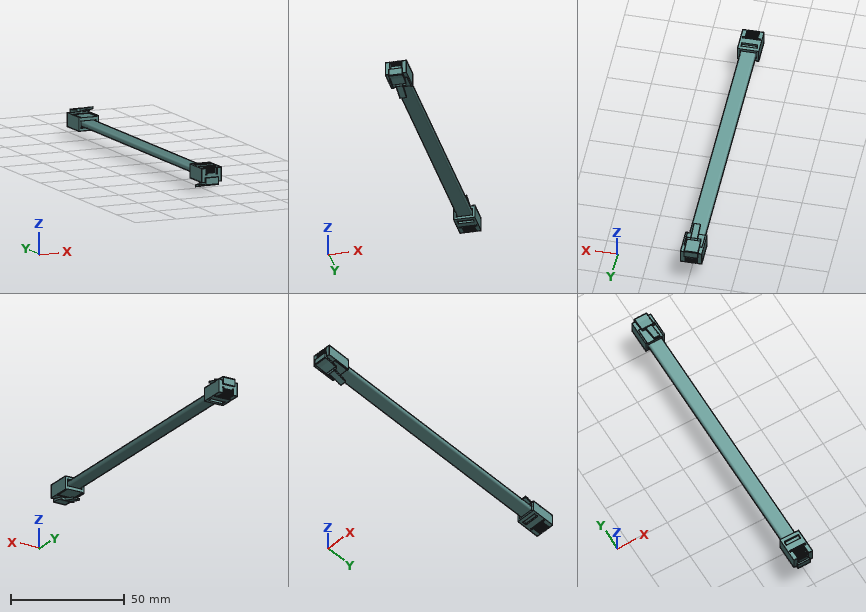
import cadquery as cq

overall_length = 143.05
overall_height = 15.4

plug_width = 9.63
plug_height = 6.35
plug_length = 12.28
nose_chamfer = 0.1

latch_width = 6.2
latch_protrusion = 0.82
latch_root_z = 1.05
latch_plate_thickness = 1.3
latch_nose_chamfer_length = 0.2
latch_nose_chamfer_height = 0.4
gap_start_reach = 1.9
bend_reach = 3.0
step_foot_reach = 6.7
step_foot_z = 5.25
step_top_reach = 7.35
step_top_z = 5.9
shoulder_bottom_z = 4.5

tab_width = 3.0
tab_reach = 14.6
tab_end_height = 0.85

latch_recess_width = 8.1
latch_recess_setback = 4.45
latch_recess_depth = 0.3

slot_count = 6
slot_pitch = 1.02
slot_width = 0.5
contact_depth = 0.3
contact_ledge_depth = 2.3
contact_ledge_length = 0.8
empty_slot_depth = 3.0
contact_end_radius = 0.5

groove_width = 8.0
groove_length = 0.75
groove_depth = contact_depth + contact_end_radius
groove_from_rear = 7.05
pocket_width = 7.2
pocket_length = 2.1
pocket_depth = 1.0
pocket_from_rear = 1.8

cable_width = 7.2
cable_thickness = 2.5
cable_corner_radius = 1.1
opening_width = 7.4
opening_top_z = 1.4
opening_bottom_z = -1.9
opening_depth = 6.0

tip_y = overall_length / 2
nose_y = tip_y - latch_protrusion
rear_y = nose_y - plug_length
opening_floor_y = rear_y + opening_depth
groove_y = rear_y + groove_from_rear
slot_rear_y = groove_y + groove_length
latch_face_z = plug_height / 2
contact_face_z = -plug_height / 2


def block(width, y_start, y_end, z_bottom, z_top):
    """A box centred on X = 0 between the given Y and Z limits."""
    return (
        cq.Workplane("XY")
        .box(width, y_end - y_start, z_top - z_bottom, centered=(True, False, False))
        .translate((0, y_start, z_bottom))
    )


def side_profile(points, width):
    """Extrude a (Y, Z) outline by the given width, centred on X = 0."""
    return cq.Workplane("YZ").polyline(points).close().extrude(width / 2, both=True)


def make_latch():
    """Plate hooked over the nose, rising backwards to a shoulder and a narrow tab."""
    plate_top_z = latch_face_z + latch_plate_thickness
    latch_top_z = overall_height / 2
    root_y = nose_y - nose_chamfer
    shoulder_y = tip_y - step_top_reach
    tab_end_y = tip_y - tab_reach

    plate = side_profile(
        [
            (tip_y, latch_root_z),
            (tip_y, plate_top_z - latch_nose_chamfer_height),
            (tip_y - latch_nose_chamfer_length, plate_top_z),
            (tip_y - bend_reach, plate_top_z),
            (tip_y - step_foot_reach, step_foot_z),
            (shoulder_y, step_top_z),
            (shoulder_y, shoulder_bottom_z),
            (tip_y - gap_start_reach, latch_face_z),
            (root_y, latch_face_z),
            (root_y, latch_root_z),
        ],
        latch_width,
    )
    tab = side_profile(
        [
            (shoulder_y, step_top_z),
            (tab_end_y, latch_top_z),
            (tab_end_y, latch_top_z - tab_end_height),
            (shoulder_y, shoulder_bottom_z),
        ],
        tab_width,
    )
    return plate.union(tab)


def contact_slot():
    """Space left above a contact: its top is rounded at both ends, with a ledge before the nose."""
    contact_top_z = contact_face_z + contact_depth
    corner_z = contact_top_z + contact_end_radius
    ledge_z = contact_face_z + contact_ledge_depth
    contact_front_y = nose_y - contact_ledge_length
    return (
        cq.Workplane("YZ")
        .moveTo(slot_rear_y, contact_face_z)
        .lineTo(slot_rear_y, corner_z)
        .radiusArc((slot_rear_y + contact_end_radius, contact_top_z), -contact_end_radius)
        .lineTo(contact_front_y - contact_end_radius, contact_top_z)
        .radiusArc((contact_front_y, corner_z), -contact_end_radius)
        .lineTo(contact_front_y, ledge_z)
        .lineTo(nose_y, ledge_z)
        .lineTo(nose_y, contact_face_z)
        .close()
        .extrude(slot_width / 2, both=True)
    )


def empty_slot():
    """Deeper square slot at either end of the row, where there is no contact."""
    return block(slot_width, slot_rear_y, nose_y, contact_face_z, contact_face_z + empty_slot_depth)


def cut_slots(body):
    """Cut the row of slots; only the two outermost are empty."""
    for i in range(slot_count):
        is_outermost = i in (0, slot_count - 1)
        slot = empty_slot() if is_outermost else contact_slot()
        x = (i - (slot_count - 1) / 2) * slot_pitch
        body = body.cut(slot.translate((x, 0, 0)))
    return body


def make_plug():
    """Plug at the +Y end with its latch up, one solid with its contacts."""
    body = block(plug_width, rear_y, nose_y, contact_face_z, latch_face_z)
    body = body.faces(">Y").chamfer(nose_chamfer)

    recess_end_y = nose_y - latch_recess_setback
    recess_floor_z = latch_face_z - latch_recess_depth
    latch_recess = block(latch_recess_width, rear_y, recess_end_y, recess_floor_z, latch_face_z)

    groove_floor_z = contact_face_z + groove_depth
    groove = block(groove_width, groove_y, slot_rear_y, contact_face_z, groove_floor_z)

    pocket_y = rear_y + pocket_from_rear
    pocket_floor_z = contact_face_z + pocket_depth
    pocket = block(pocket_width, pocket_y, pocket_y + pocket_length, contact_face_z, pocket_floor_z)

    opening = block(opening_width, rear_y, opening_floor_y, opening_bottom_z, opening_top_z)

    body = cut_slots(body.cut(latch_recess).cut(groove).cut(pocket).cut(opening))
    return body.union(make_latch())


def make_cable():
    """Flat cable with rounded edges, reaching the floor of both plug openings."""
    return (
        cq.Workplane("XY")
        .box(cable_width, 2 * opening_floor_y, cable_thickness)
        .edges("|Y")
        .fillet(cable_corner_radius)
    )


cable = make_cable()

plugs = []
for turn in (0, 180):
    plug = make_plug().rotate((0, 0, 0), (1, 0, 0), turn)
    plugs.extend(plug.solids().vals())

result = cq.Compound.makeCompound([cable.val(), *plugs])